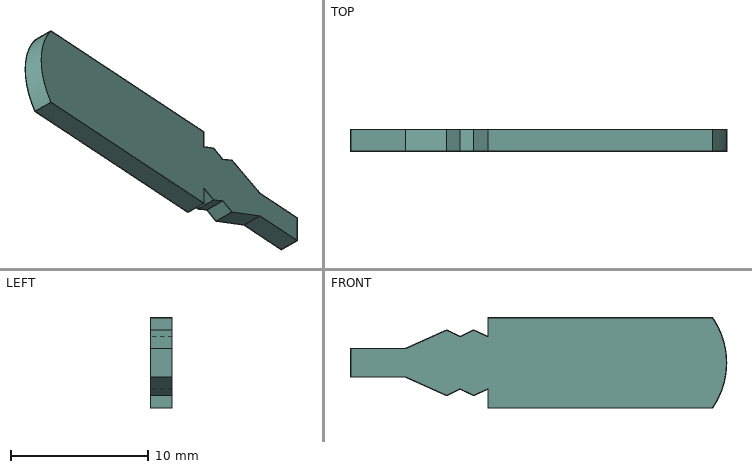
import cadquery as cq

thickness = 1.6
overall_length = 27.42
body_width = 6.6
tail_width = 2.1
barb_peak_width = 4.8
barb_root_width = 3.84

tail_length = 4.0
barb_pitch = 1.96
first_peak_x = 7.0
body_start_x = 10.0
end_arc_start_x = 26.38

first_root_x = first_peak_x + barb_pitch / 2
second_peak_x = first_peak_x + barb_pitch

upper_edge = [
    (0, tail_width / 2),
    (tail_length, tail_width / 2),
    (first_peak_x, barb_peak_width / 2),
    (first_root_x, barb_root_width / 2),
    (second_peak_x, barb_peak_width / 2),
    (body_start_x, barb_root_width / 2),
    (body_start_x, body_width / 2),
    (end_arc_start_x, body_width / 2),
]
lower_edge = [(x, -z) for x, z in reversed(upper_edge)]

result = (
    cq.Workplane("XZ")
    .polyline(upper_edge)
    .threePointArc((overall_length, 0), lower_edge[0])
    .polyline(lower_edge, includeCurrent=False)
    .close()
    .extrude(thickness / 2, both=True)
)